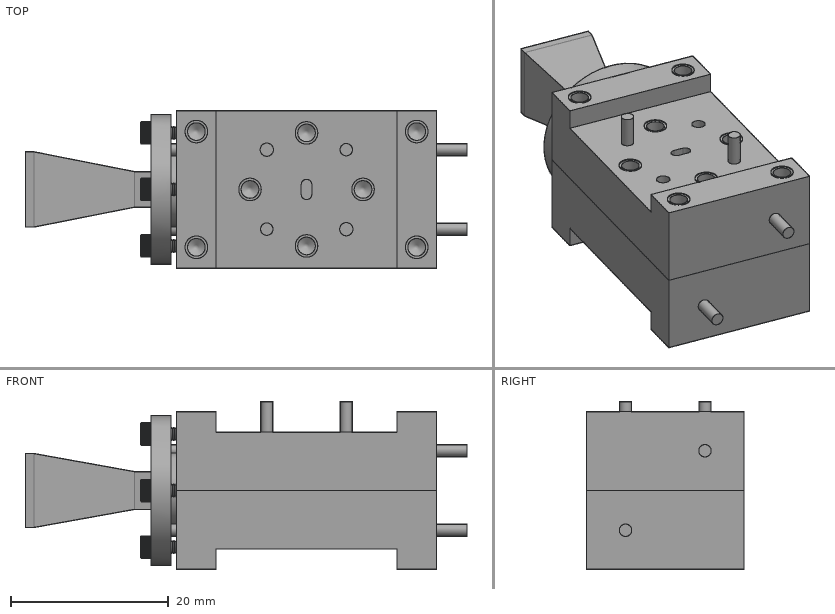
import cadquery as cq
import math

overall_length = 56.0
overall_height = 21.3

block_width = 20.0
block_length = 33.0
block_front_x = 19.15
block_back_x = block_front_x + block_length
block_mid_x = (block_front_x + block_back_x) / 2
half_height = block_width / 2
shoulder_length = 5.05
shoulder_height = 2.6
deck_z = half_height - shoulder_height

screw_circle_radius = 7.15
dowel_offset = 5.05
dowel_diameter = 1.55
dowel_chamfer = 0.15
dowel_hole_diameter = 1.7
dowel_hole_depth = 3.35
dowel_depth_in_block = 3.35

tapped_diameter = 2.25
tapped_mouth_diameter = 2.85
tapped_mouth_depth = 0.1
tapped_depth = 4.5
drill_tip_angle = 118.0
corner_hole_y = 7.35

slot_width = 1.35
slot_length = 2.6
slot_depth = 3.35

flange_diameter = 19.05
flange_thickness = 2.6
flange_front_x = 15.9
flange_back_x = flange_front_x + flange_thickness
boss_diameter = 9.5
lip_length = 1.05
neck_x = 13.85
mouth_opening_y = 7.55
mouth_opening_z = 7.4
throat_y = 2.5
throat_z = 2.8
horn_wall = 1.0

head_diameter = 2.85
head_height = 1.35
head_chamfer = 0.15
knurl_count = 48
knurl_depth = 0.07
shank_diameter = 1.7
thread_groove_count = 12
thread_groove_depth = 0.15
screw_depth_in_block = 3.35
socket_across_flats = 1.7
socket_depth = 0.8


def cylinder_x(x_start, x_end, diameter, y=0.0, z=0.0):
    """Cylinder along X between two X positions."""
    return (
        cq.Workplane("YZ", origin=(x_start, y, z))
        .circle(diameter / 2)
        .extrude(x_end - x_start)
    )


def box_x(x_start, x_end, size_y, size_z):
    """Rectangular bar centred on the X axis."""
    return cq.Workplane("YZ", origin=(x_start, 0, 0)).rect(size_y, size_z).extrude(x_end - x_start)


def taper_x(x_start, start_y, start_z, x_end, end_y, end_z):
    """Pyramid frustum along X from one rectangle to another."""
    return (
        cq.Workplane("YZ", origin=(x_start, 0, 0))
        .rect(start_y, start_z)
        .workplane(offset=x_end - x_start)
        .rect(end_y, end_z)
        .loft(ruled=True)
    )


dowel_places = [(dowel_offset, dowel_offset), (-dowel_offset, -dowel_offset)]
open_hole_places = [(dowel_offset, -dowel_offset), (-dowel_offset, dowel_offset)]
screw_angles = [0, 90, 180, 270]
screw_tip_x = block_front_x + screw_depth_in_block
dowel_end_x = block_front_x + dowel_depth_in_block


def screw_place(angle):
    """(y, z) of the screw at an angle round the X axis."""
    turn = math.radians(angle)
    return screw_circle_radius * math.cos(turn), screw_circle_radius * math.sin(turn)


def plain_half():
    """Upper half: a slab with a raised shoulder at each end and cavities for the joining parts."""
    half = cq.Workplane("XY").box(
        block_length, block_width, half_height, centered=(False, True, False)
    ).translate((block_front_x, 0, 0))
    relief = cq.Workplane("XY").box(
        block_length - 2 * shoulder_length, block_width, shoulder_height, centered=(True, True, False)
    ).translate((block_mid_x, 0, deck_z))
    half = half.cut(relief)
    for angle in screw_angles:
        half = half.cut(cylinder_x(block_front_x, screw_tip_x, shank_diameter, *screw_place(angle)))
    for place in dowel_places:
        half = half.cut(cylinder_x(block_front_x, dowel_end_x, dowel_diameter, *place))
    return half


def add_back_pin(half):
    """Guide pin, in one piece with the half, on the back face."""
    return half.union(
        cylinder_x(block_back_x, overall_length, dowel_diameter, dowel_offset, dowel_offset)
    )


def tapped_hole(x, y, top_z):
    """Cutter for a blind hole with a shallow counterbored mouth and a drill-point bottom."""
    radius = tapped_diameter / 2
    mouth_radius = tapped_mouth_diameter / 2
    tip_length = radius / math.tan(math.radians(drill_tip_angle / 2))
    return (
        cq.Workplane("XZ")
        .polyline([
            (0, 0),
            (mouth_radius, 0),
            (mouth_radius, -tapped_mouth_depth),
            (radius, -tapped_mouth_depth),
            (radius, -tapped_depth),
            (0, -tapped_depth - tip_length),
        ])
        .close()
        .revolve(360, (0, 0), (0, 1))
        .translate((x, y, top_z))
    )


def add_top_interface(half):
    """Tapped holes, waveguide slot, dowel holes and guide pins on the top."""
    for angle in screw_angles:
        across, along = screw_place(angle)
        half = half.cut(tapped_hole(block_mid_x + along, across, deck_z))
    shoulder_mid = block_length / 2 - shoulder_length / 2
    for x in (block_mid_x - shoulder_mid, block_mid_x + shoulder_mid):
        for y in (-corner_hole_y, corner_hole_y):
            half = half.cut(tapped_hole(x, y, half_height))

    deck = cq.Workplane("XY", origin=(block_mid_x, 0, deck_z))
    half = half.cut(deck.slot2D(slot_length, slot_width, 90).extrude(-slot_depth))
    half = half.cut(
        deck.pushPoints(open_hole_places).circle(dowel_hole_diameter / 2).extrude(-dowel_hole_depth)
    )
    pin_height = overall_height - half_height - deck_z
    return half.union(deck.pushPoints(dowel_places).circle(dowel_diameter / 2).extrude(pin_height))


plain_upper_half = add_back_pin(plain_half())
upper_half = add_top_interface(plain_upper_half)
lower_half = plain_upper_half.rotate((0, 0, 0), (1, 0, 0), 180)


def make_horn():
    """Square horn, neck, round flange and centring boss in one piece."""
    outer_y = mouth_opening_y + 2 * horn_wall
    outer_z = mouth_opening_z + 2 * horn_wall
    neck_y = throat_y + 2 * horn_wall
    neck_z = throat_z + 2 * horn_wall
    horn = (
        box_x(0, lip_length, outer_y, outer_z)
        .union(taper_x(lip_length, outer_y, outer_z, neck_x, neck_y, neck_z))
        .union(box_x(neck_x, flange_front_x, neck_y, neck_z))
        .union(cylinder_x(flange_front_x, flange_back_x, flange_diameter))
        .union(cylinder_x(flange_back_x, block_front_x, boss_diameter))
    )
    horn = horn.cut(box_x(0, lip_length, mouth_opening_y, mouth_opening_z))
    horn = horn.cut(taper_x(lip_length, mouth_opening_y, mouth_opening_z, neck_x, throat_y, throat_z))
    for angle in screw_angles:
        horn = horn.cut(cylinder_x(flange_front_x, block_front_x, shank_diameter, *screw_place(angle)))
    for place in dowel_places:
        horn = horn.cut(cylinder_x(flange_front_x, block_front_x, dowel_diameter, *place))
    for place in open_hole_places:
        horn = horn.cut(cylinder_x(flange_front_x, block_front_x, dowel_hole_diameter, *place))
    return horn


horn = make_horn()


def knurled_head(head_x):
    """Round head with a chamfered front edge and straight V-shaped knurling round its side."""
    crest_radius = head_diameter / 2
    outline = []
    for step in range(2 * knurl_count):
        turn = math.pi * step / knurl_count
        radius = crest_radius - knurl_depth * (step % 2)
        outline.append((radius * math.cos(turn), radius * math.sin(turn)))
    knurled_bar = (
        cq.Workplane("YZ", origin=(head_x, 0, 0)).polyline(outline).close().extrude(head_height)
    )
    blank = cylinder_x(head_x, flange_front_x, head_diameter).faces("<X").edges().chamfer(head_chamfer)
    return knurled_bar.intersect(blank)


def threaded_shank():
    """Shank from the flange front, with ring grooves for the thread from the flange back to the tip."""
    crest_radius = shank_diameter / 2
    root_radius = crest_radius - thread_groove_depth
    thread_pitch = (screw_tip_x - flange_back_x) / thread_groove_count
    profile = [(flange_front_x, 0), (flange_front_x, crest_radius)]
    for groove in range(thread_groove_count):
        groove_x = flange_back_x + groove * thread_pitch
        profile.append((groove_x, crest_radius))
        profile.append((groove_x + thread_pitch / 2, root_radius))
    profile.append((screw_tip_x, crest_radius))
    profile.append((screw_tip_x, 0))
    return cq.Workplane("XY").polyline(profile).close().revolve(360, (0, 0), (1, 0))


def make_screw(angle):
    """Socket-head screw with a corner of its hexagon pointing away from the horn axis."""
    head_x = flange_front_x - head_height
    socket_corner_diameter = socket_across_flats / math.cos(math.radians(30))
    screw = knurled_head(head_x).union(threaded_shank())
    socket = (
        cq.Workplane("YZ", origin=(head_x, 0, 0))
        .polygon(6, socket_corner_diameter)
        .extrude(socket_depth)
    )
    screw = screw.cut(socket)
    return screw.translate((0, screw_circle_radius, 0)).rotate((0, 0, 0), (1, 0, 0), angle)


screws = [make_screw(angle) for angle in screw_angles]


def make_dowel(place):
    """Dowel with a chamfered end, flush with the front of the flange."""
    dowel = cylinder_x(flange_front_x, dowel_end_x, dowel_diameter, *place)
    return dowel.faces("<X").edges().chamfer(dowel_chamfer)


dowels = [make_dowel(place) for place in dowel_places]

result = cq.Compound.makeCompound([
    upper_half.val(),
    lower_half.val(),
    horn.val(),
    *[screw.val() for screw in screws],
    *[dowel.val() for dowel in dowels],
])